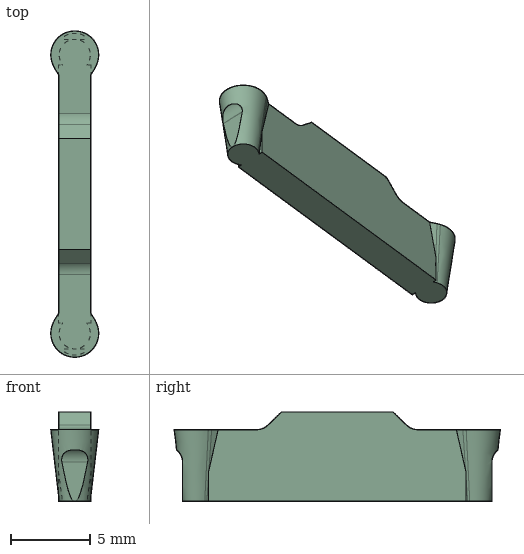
import cadquery as cq
import math

OVERALL_LENGTH = 20.56
OVERALL_HEIGHT = 5.65
SHANK_WIDTH = 2.04
SHANK_HALF_LENGTH = 8.12

EDGE_HEIGHT = 4.53
CROWN_HALF_LENGTH = 3.5
CROWN_SLOPE = 44
CROWN_FOOT_RADIUS = 1.0

HEAD_RADIUS = 1.515
CLEARANCE_ANGLE = 6.7
HEAD_BASE_RADIUS = HEAD_RADIUS - EDGE_HEIGHT * math.tan(math.radians(CLEARANCE_ANGLE))
HEAD_CENTRE_Y = OVERALL_LENGTH / 2 - HEAD_RADIUS

STRIP_ANGLE = 25.2
STRIP_LENGTH = 0.23
FLANK_ANGLE = 31.6

RELIEF_FLAT_HEIGHT = 2.47
RELIEF_RADIUS = 1.0
RELIEF_CUT_DEPTH = 2 * HEAD_RADIUS


def make_shank():
    """Flat blade with a raised centre, extruded symmetrically about X = 0."""
    slope_run = (OVERALL_HEIGHT - EDGE_HEIGHT) / math.tan(math.radians(CROWN_SLOPE))
    foot_y = CROWN_HALF_LENGTH + slope_run
    outline = [
        (-SHANK_HALF_LENGTH, 0),
        (SHANK_HALF_LENGTH, 0),
        (SHANK_HALF_LENGTH, EDGE_HEIGHT),
        (foot_y, EDGE_HEIGHT),
        (CROWN_HALF_LENGTH, OVERALL_HEIGHT),
        (-CROWN_HALF_LENGTH, OVERALL_HEIGHT),
        (-foot_y, EDGE_HEIGHT),
        (-SHANK_HALF_LENGTH, EDGE_HEIGHT),
    ]
    shank = cq.Workplane("YZ").polyline(outline).close().extrude(SHANK_WIDTH / 2, both=True)
    for side in (-1, 1):
        foot = cq.selectors.NearestToPointSelector((0, side * foot_y, EDGE_HEIGHT))
        shank = shank.edges(foot).fillet(CROWN_FOOT_RADIUS)
    return shank


def head_section(plane, radius):
    """Teardrop section of the +Y head, scaled about the head centre to the given radius."""
    scale = radius / HEAD_RADIUS
    strip = math.radians(STRIP_ANGLE)
    round_x = radius * math.cos(strip)
    round_y = HEAD_CENTRE_Y - radius * math.sin(strip)
    strip_x = round_x - scale * STRIP_LENGTH * math.sin(strip)
    strip_y = round_y - scale * STRIP_LENGTH * math.cos(strip)
    tip_y = strip_y - strip_x / math.tan(math.radians(FLANK_ANGLE))
    return (
        plane.moveTo(0, tip_y)
        .lineTo(strip_x, strip_y)
        .lineTo(round_x, round_y)
        .threePointArc((0, HEAD_CENTRE_Y + radius), (-round_x, round_y))
        .lineTo(-strip_x, strip_y)
        .close()
    )


def make_nose_relief():
    """Material removed below the cutting edge at the +Y nose."""
    flat_y = HEAD_CENTRE_Y + HEAD_BASE_RADIUS
    outer_y = flat_y + RELIEF_RADIUS
    arc_offset = RELIEF_RADIUS * math.sqrt(0.5)
    arc_middle = (outer_y - arc_offset, RELIEF_FLAT_HEIGHT + arc_offset)
    return (
        cq.Workplane("YZ")
        .moveTo(flat_y, 0)
        .lineTo(flat_y, RELIEF_FLAT_HEIGHT)
        .threePointArc(arc_middle, (outer_y, RELIEF_FLAT_HEIGHT + RELIEF_RADIUS))
        .lineTo(outer_y, 0)
        .close()
        .extrude(RELIEF_CUT_DEPTH / 2, both=True)
    )


def make_head():
    """Tapered head at the +Y end, with its nose relief."""
    base = head_section(cq.Workplane("XY"), HEAD_BASE_RADIUS)
    head = head_section(base.workplane(offset=EDGE_HEIGHT), HEAD_RADIUS).loft(ruled=True)
    return head.cut(make_nose_relief())


head_at_plus_y = make_head()
head_at_minus_y = head_at_plus_y.mirror("XZ")
result = make_shank().union(head_at_plus_y).union(head_at_minus_y)